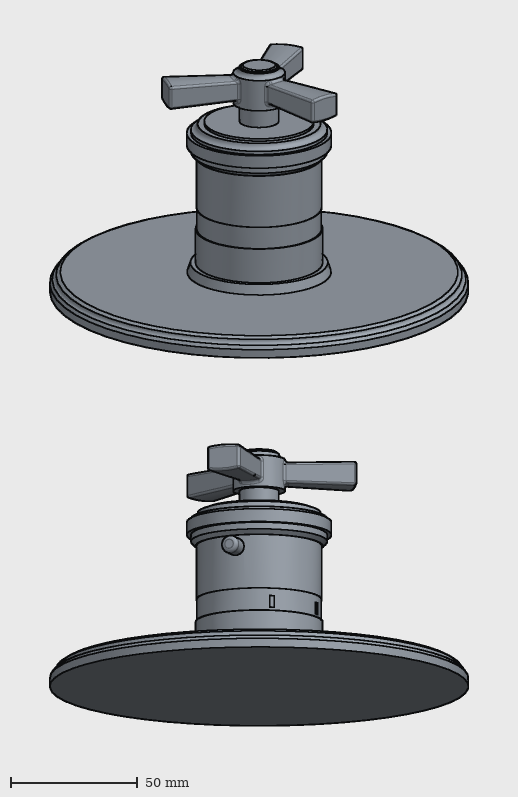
import cadquery as cq
import math

plate_radius = 82.5
plate_edge_height = 3.5
plate_bevel_width = 1.0
plate_bevel_top = 5.0
plate_cove_radius = 80.0
plate_cove_top = 7.0
plate_face_radius = 78.5
plate_top = 8.0
flange_base_radius = 28.4
flange_top_radius = 27.0
flange_top = 11.9
collar_radius = 25.1
collar_top = 26.0
dial_radius = 24.6
dial_top = 34.8
body_radius = 24.8

bonnet_radius = 26.9
bonnet_bottom = 56.3
bonnet_chamfer = 1.8
ring_radius = 28.5
ring_bottom = 60.8
ring_top = 65.9
bonnet_cove_bottom = 67.2
bonnet_cove_radius = 24.3
bonnet_cove_top = 69.7
bonnet_face_radius = 21.6
bonnet_top = 70.7

stem_radius = 7.8
hub_radius = 10.2
hub_bottom = 78.5
hub_shoulder = 91.0
cap_radius = 8.0
cap_bottom = 93.1
cap_face_radius = 6.5
overall_height = 94.1

arm_count = 3
arm_first_angle = 90.0
arm_mid_height = 85.4
arm_inner = 5.0
arm_tip = 38.0
arm_inner_half_width = 4.3
arm_tip_half_width = 7.0
arm_inner_half_height = 3.8
arm_tip_half_height = 4.6
arm_crown = 0.7
arm_edge_fillet = 1.0
arm_root_fillet = 1.3
hub_rim_margin = 0.8

pin_radius = 3.5
pin_height = 51.7
pin_reach = 32.0
pin_end_fillet = 1.7

bar_width = 1.8
bar_height = 4.6
bar_mid_height = 29.5
bar_depth = 0.3
bar_angles = (180.0, 124.0)


def cove(profile, start, end):
    """Add a hollow quarter curve that leaves start level and reaches end upright."""
    width = start[0] - end[0]
    height = end[1] - start[1]
    diagonal = math.sqrt(0.5)
    middle = (start[0] - width * diagonal, end[1] - height * diagonal)
    return profile.threePointArc(middle, end)


def make_turned_body():
    """Revolve the plate, body, bonnet, stem and hub as one profile of radius and height."""
    plate_cove_start = (plate_radius - plate_bevel_width, plate_bevel_top)
    profile = (
        cq.Workplane("XZ")
        .lineTo(plate_radius, 0)
        .lineTo(plate_radius, plate_edge_height)
        .lineTo(*plate_cove_start)
    )
    profile = (
        cove(profile, plate_cove_start, (plate_cove_radius, plate_cove_top))
        .lineTo(plate_face_radius, plate_top)
        .lineTo(flange_base_radius, plate_top)
        .lineTo(flange_top_radius, flange_top)
        .lineTo(collar_radius, flange_top)
        .lineTo(collar_radius, collar_top)
        .lineTo(dial_radius, collar_top)
        .lineTo(dial_radius, dial_top)
        .lineTo(body_radius, dial_top)
        .lineTo(body_radius, bonnet_bottom)
        .lineTo(bonnet_radius - bonnet_chamfer, bonnet_bottom)
        .lineTo(bonnet_radius, bonnet_bottom + bonnet_chamfer)
        .lineTo(bonnet_radius, ring_bottom)
        .lineTo(ring_radius, ring_bottom)
        .lineTo(ring_radius, ring_top)
        .lineTo(bonnet_radius, ring_top)
        .lineTo(bonnet_radius, bonnet_cove_bottom)
    )
    profile = (
        cove(profile, (bonnet_radius, bonnet_cove_bottom), (bonnet_cove_radius, bonnet_cove_top))
        .lineTo(bonnet_face_radius, bonnet_cove_top)
        .lineTo(bonnet_face_radius, bonnet_top)
        .lineTo(stem_radius, bonnet_top)
        .lineTo(stem_radius, hub_bottom)
        .lineTo(hub_radius, hub_bottom)
        .lineTo(hub_radius, hub_shoulder)
    )
    cap_rim_radius = (cap_radius + cap_face_radius) / 2
    cap_rim_height = (cap_bottom + overall_height) / 2
    profile = (
        cove(profile, (hub_radius, hub_shoulder), (cap_radius, cap_bottom))
        .lineTo(cap_rim_radius, cap_bottom)
        .lineTo(cap_rim_radius, cap_rim_height)
        .lineTo(cap_face_radius, overall_height)
        .lineTo(0, overall_height)
        .close()
    )
    return profile.revolve(360, (0, 0, 0), (0, 1, 0))


def arm_section(workplane, half_width, half_height):
    """Draw an arm cross-section with crowned top and bottom edges."""
    crown_height = half_height + arm_crown
    return (
        workplane.moveTo(-half_width, -half_height)
        .threePointArc((0, -crown_height), (half_width, -half_height))
        .lineTo(half_width, half_height)
        .threePointArc((0, crown_height), (-half_width, half_height))
        .close()
    )


def make_arm():
    """Loft one arm along +X, with its inner end buried in the hub."""
    inner = cq.Workplane("YZ", origin=(arm_inner, 0, arm_mid_height))
    section = arm_section(inner, arm_inner_half_width, arm_inner_half_height)
    tip = section.workplane(offset=arm_tip - arm_inner)
    arm = arm_section(tip, arm_tip_half_width, arm_tip_half_height).loft(ruled=True)
    return arm.edges("not(<X)").fillet(arm_edge_fillet)


def add_arms(part):
    """Join the arms around the hub and round the corners where they meet it."""
    arm = make_arm()
    for index in range(arm_count):
        angle = arm_first_angle + index * 360 / arm_count
        part = part.union(arm.rotate((0, 0, 0), (0, 0, 1), angle))
    corners = part.edges(
        cq.selectors.BoxSelector(
            (-hub_radius, -hub_radius, hub_bottom + hub_rim_margin),
            (hub_radius, hub_radius, hub_shoulder - hub_rim_margin),
        )
    )
    return corners.fillet(arm_root_fillet)


def make_pin():
    """Make the round-ended stop pin, running out of the body toward +Y."""
    return (
        cq.Workplane("XZ", origin=(0, 0, pin_height))
        .circle(pin_radius)
        .extrude(-pin_reach)
        .faces(">Y")
        .edges()
        .fillet(pin_end_fillet)
    )


def make_bar(angle):
    """Make the cutter for one engraved bar at the given angle around the dial."""
    return (
        cq.Workplane("XY")
        .box(2 * bar_depth, bar_width, bar_height)
        .translate((dial_radius, 0, bar_mid_height))
        .rotate((0, 0, 0), (0, 0, 1), angle)
    )


result = add_arms(make_turned_body()).union(make_pin())
for bar_angle in bar_angles:
    result = result.cut(make_bar(bar_angle))